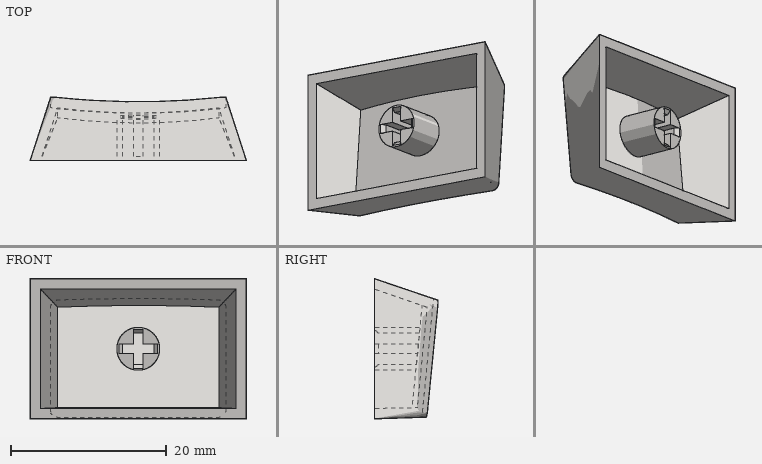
import cadquery as cq
import math


rim_width = 27.75
rim_length = 18.0
rim_corner_radius = 0.02
wall = 1.35

top_width = 22.5
top_length = 15.07
top_corner_radius = 1.0
top_centre_y = 7.475
top_centre_z = -1.28
top_tilt = 5.6

dish_depth = 0.67

roof = 1.35
ceiling_width = 20.65
ceiling_length = 12.93
ceiling_centre_z = -1.11

stem_diameter = 5.5
socket_span = 4.0
socket_upright_width = 1.25
socket_crossbar_width = 1.17
lead_in = 0.5

cut_length = 2 * rim_length

rim_plane = cq.Plane(origin=(0, 0, 0), xDir=(-1, 0, 0), normal=(0, 1, 0))


def tilted_plane(centre_y, centre_z):
    """Plane parallel to the tilted top: local Y runs up its length, the normal points towards +Y."""
    tilt = math.radians(top_tilt)
    normal = (0, math.cos(tilt), -math.sin(tilt))
    return cq.Plane(origin=(0, centre_y, centre_z), xDir=(-1, 0, 0), normal=normal)


def outline(plane, width, length, corner_radius=0):
    """Rectangle on the plane, with rounded corners when a corner radius is given."""
    sketch = cq.Sketch().rect(width, length)
    if corner_radius > 0:
        sketch = sketch.vertices().fillet(corner_radius)
    return sketch.moved(plane.location)


def dish(plane, width):
    """Cylinder along the tilted face, touching both its sides and hollowing its middle by the dish depth."""
    radius = ((width / 2) ** 2 + dish_depth ** 2) / (2 * dish_depth)
    axis_point = plane.toWorldCoords((0, 0, radius - dish_depth))
    axis_plane = cq.Plane(origin=axis_point.toTuple(), xDir=(1, 0, 0), normal=plane.yDir.toTuple())
    return cq.Workplane(axis_plane).circle(radius).extrude(cut_length / 2, both=True)


def dished_block(base_outline, top_outline, dish_cutter):
    """Straight-sided block between the two outlines, with its tilted end dished."""
    block = cq.Workplane("XY").placeSketch(base_outline, top_outline).loft(ruled=True)
    return block.cut(dish_cutter)


def outer_body():
    plane = tilted_plane(top_centre_y, top_centre_z)
    base = outline(rim_plane, rim_width, rim_length, rim_corner_radius)
    top = outline(plane, top_width, top_length, top_corner_radius)
    return dished_block(base, top, dish(plane, top_width))


def cavity():
    plane = tilted_plane(top_centre_y - roof, ceiling_centre_z)
    base = outline(rim_plane, rim_width - 2 * wall, rim_length - 2 * wall)
    ceiling = outline(plane, ceiling_width, ceiling_length)
    return dished_block(base, ceiling, dish(plane, ceiling_width))


def socket_bar(width):
    """Bar of the cross, spanning X, with both ends flared at the mouth by the lead-in."""
    half_span = socket_span / 2
    half_mouth = half_span + lead_in
    profile = [
        (-half_mouth, 0),
        (half_mouth, 0),
        (half_span, lead_in),
        (half_span, cut_length),
        (-half_span, cut_length),
        (-half_span, lead_in),
    ]
    return cq.Workplane("XY").polyline(profile).close().extrude(width / 2, both=True)


def stem():
    post = cq.Workplane(rim_plane).circle(stem_diameter / 2).extrude(cut_length)
    upright = socket_bar(socket_upright_width).rotate((0, 0, 0), (0, 1, 0), 90)
    crossbar = socket_bar(socket_crossbar_width)
    return post.cut(upright).cut(crossbar)


result = outer_body().cut(cavity().cut(stem()))